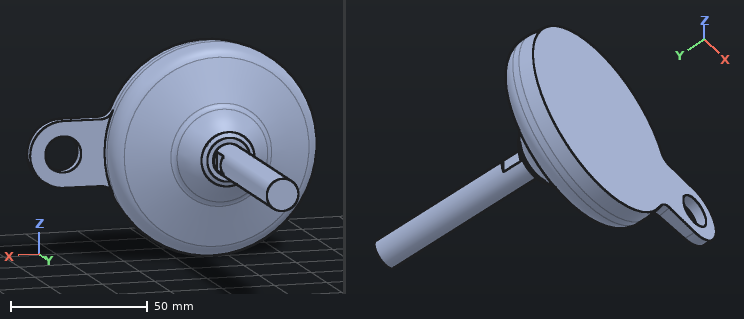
import cadquery as cq
import math


rim_diameter = 80.0
rim_radius = rim_diameter / 2
sole_radius = 39.3
draft_height = 6.0
rim_height = 9.0
shoulder_radius = 7.2
cone_angle = math.radians(21)

dome_radius = 21.3
dome_center_height = 10.9
neck_height = 23.2
neck_fillet = 4.2
dome_top_height = 29.9

overall_length = 108.0
lug_radius = 12.5
lug_hole_radius = 6.7
lug_end_height = 4.2
lug_slope = math.radians(3)
lug_fillet = 5.0
lug_end_x = overall_length - rim_radius
lug_center_x = lug_end_x - lug_radius

stud_radius = 6.0
stud_end = 101.5
collar_radius = 10.2
collar_bottom_radius = 9.3
collar_top_radius = 8.2
collar_mid_height = 30.6
collar_top_height = 31.5
flat_start = 33.3
flat_end = 41.5
flat_width = 9.9


def on_circle(center, radius, angle):
    """Point on a circle at an angle measured from the radial direction."""
    return (center[0] + radius * math.cos(angle), center[1] + radius * math.sin(angle))


def revolve_about_y(profile):
    return profile.close().revolve(360, (0, 0, 0), (0, 1, 0))


def make_foot_body():
    """Revolved foot: drafted rim, rounded shoulder, cone, neck fillet and spherical dome."""
    cone_normal = math.pi / 2 - cone_angle
    shoulder_center = (rim_radius - shoulder_radius, rim_height)
    shoulder_mid = on_circle(shoulder_center, shoulder_radius, cone_normal / 2)
    shoulder_end = on_circle(shoulder_center, shoulder_radius, cone_normal)

    dome_center = (0, dome_center_height)
    neck_normal = math.asin((neck_height - dome_center_height) / dome_radius)
    neck_center = on_circle(dome_center, dome_radius + neck_fillet, neck_normal)
    neck_start = on_circle(neck_center, -neck_fillet, cone_normal)
    neck_mid = on_circle(neck_center, -neck_fillet, (cone_normal + neck_normal) / 2)
    neck_end = on_circle(neck_center, -neck_fillet, neck_normal)

    top_angle = math.asin((dome_top_height - dome_center_height) / dome_radius)
    dome_mid = on_circle(dome_center, dome_radius, (neck_normal + top_angle) / 2)
    dome_end = on_circle(dome_center, dome_radius, top_angle)

    profile = (
        cq.Workplane("XY")
        .lineTo(sole_radius, 0)
        .lineTo(rim_radius, draft_height)
        .lineTo(rim_radius, rim_height)
        .threePointArc(shoulder_mid, shoulder_end)
        .lineTo(*neck_start)
        .threePointArc(neck_mid, neck_end)
        .threePointArc(dome_mid, dome_end)
        .lineTo(0, dome_top_height)
    )
    return revolve_about_y(profile)


def make_lug():
    """Round-ended lug whose upper face falls gently toward its tip."""
    inner_x = rim_radius / 2
    inner_height = lug_end_height + (lug_end_x - inner_x) * math.tan(lug_slope)
    wedge = (
        cq.Workplane("XY")
        .moveTo(inner_x, 0)
        .lineTo(lug_end_x, 0)
        .lineTo(lug_end_x, lug_end_height)
        .lineTo(inner_x, inner_height)
        .close()
        .extrude(lug_radius, both=True)
    )
    outline = (
        cq.Workplane("XZ")
        .moveTo(inner_x, -lug_radius)
        .lineTo(lug_center_x, -lug_radius)
        .threePointArc((lug_end_x, 0), (lug_center_x, lug_radius))
        .lineTo(inner_x, lug_radius)
        .close()
        .extrude(-inner_height)
    )
    return wedge.intersect(outline)


def make_foot():
    foot = make_foot_body().union(make_lug())

    corner_x = math.sqrt(rim_radius**2 - lug_radius**2)
    half_box = 1.6
    for side in (-1, 1):
        corner_box = cq.selectors.BoxSelector(
            (corner_x - half_box, 0, side * lug_radius - half_box),
            (corner_x + half_box, draft_height, side * lug_radius + half_box),
        )
        foot = foot.edges(corner_box).fillet(lug_fillet)

    lug_hole = (
        cq.Workplane("XZ").center(lug_center_x, 0).circle(lug_hole_radius).extrude(-draft_height)
    )
    return foot.cut(lug_hole)


def make_stud():
    """Plain stud with a double-bevelled collar resting on the dome and two wrench flats."""
    profile = (
        cq.Workplane("XY")
        .moveTo(0, dome_top_height)
        .lineTo(collar_bottom_radius, dome_top_height)
        .lineTo(collar_radius, collar_mid_height)
        .lineTo(collar_top_radius, collar_top_height)
        .lineTo(stud_radius, collar_top_height)
        .lineTo(stud_radius, stud_end)
        .lineTo(0, stud_end)
    )
    stud = revolve_about_y(profile)

    flat_length = flat_end - flat_start
    for side in (-1, 1):
        flat_cut = cq.Workplane("XY").box(stud_radius, flat_length, 2 * stud_radius).translate(
            (side * (flat_width + stud_radius) / 2, (flat_start + flat_end) / 2, 0)
        )
        stud = stud.cut(flat_cut)
    return stud


foot = make_foot()
stud = make_stud()

result = cq.Compound.makeCompound([foot.val(), stud.val()])